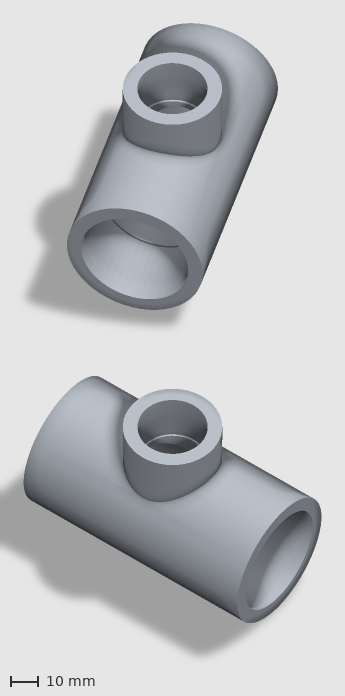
import cadquery as cq

run_length = 95.0
run_diameter = 50.5
run_socket_diameter = 39.9
run_bore_diameter = 38.4
run_socket_depth = 26.5

overall_height = 65.7
branch_top = overall_height - run_diameter / 2
branch_diameter = 35.5
branch_socket_diameter = 25.1
branch_bore_diameter = 23.6
branch_socket_depth = 19.0


def run_cylinder(diameter, length):
    """Cylinder along Y, centred on the origin."""
    return cq.Workplane("XZ").circle(diameter / 2).extrude(length / 2, both=True)


def branch_cylinder(diameter, bottom):
    """Cylinder along Z from the given height to the branch mouth."""
    return cq.Workplane("XY").workplane(offset=bottom).circle(diameter / 2).extrude(branch_top - bottom)


body = run_cylinder(run_diameter, run_length).union(branch_cylinder(branch_diameter, 0))

body = body.cut(run_cylinder(run_bore_diameter, run_length))
body = body.cut(branch_cylinder(branch_bore_diameter, 0))

stop_length = run_length - 2 * run_socket_depth
run_sockets = run_cylinder(run_socket_diameter, run_length).cut(
    run_cylinder(run_socket_diameter, stop_length)
)
body = body.cut(run_sockets)

result = body.cut(branch_cylinder(branch_socket_diameter, branch_top - branch_socket_depth))